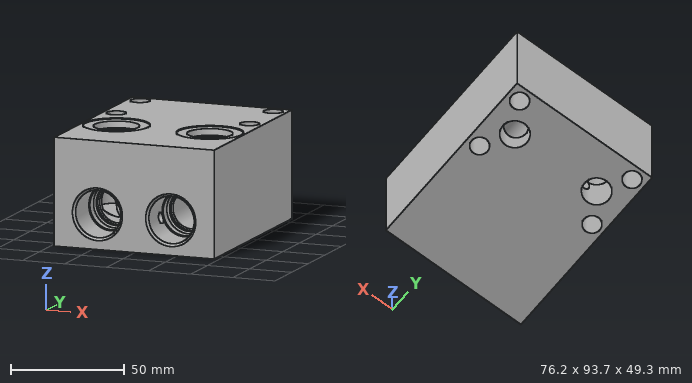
import cadquery as cq
import math

WIDTH = 76.2
LENGTH = 93.7
HEIGHT = 49.3
FRONT_Y = -LENGTH / 2

DRILL_TIP_ANGLE = 118.0

MOUNT_RADIUS = 4.4
MOUNT_X = 31.7
MOUNT_ROWS_Y = (12.0, 40.6)

CAVITY_X = 17.4
CAVITY_Z = 16.0
MOUTH_RADIUS = 11.9
MOUTH_CHAMFER_DEPTH = 0.9
OUTER_BORE_RADIUS = 10.8
OUTER_BORE_END = 16.9
THREAD_BORE_RADIUS = 10.4
THREAD_BORE_END = 21.5
MIDDLE_BORE_RADIUS = 9.5
MIDDLE_BORE_END = 24.4
INNER_BORE_RADIUS = 8.8
INNER_BORE_END = 46.8
PASSAGE_RADIUS = 6.7

TOP_PORT_X = 22.2
TOP_PORT_Y = -11.8
SPOTFACE_RADIUS = 14.9
SPOTFACE_DEPTH = 0.5
SEAT_RADIUS = 10.2
SEAT_END_RADIUS = 9.6
SEAT_DEPTH = 2.8
SEAT_LEDGE_DEPTH = 0.5
TOP_PORT_RADIUS = 8.5
TOP_PORT_FLOOR_Z = 12.1

BOTTOM_PORT_X = 23.0
BOTTOM_PORT_Y = 26.2
BOTTOM_PORT_RADIUS = PASSAGE_RADIUS
BOTTOM_PORT_CEILING_Z = 19.0

CROSS_RADIUS = 2.4
CROSS_Y = -32.4
CROSS_Z = 13.5


def drill_tip_length(radius):
    return radius / math.tan(math.radians(DRILL_TIP_ANGLE / 2))


def drilled_bore(profile):
    """Solid bore along +Z from the origin: (radius, depth) points, closed by a drill point."""
    end_radius, end_depth = profile[-1]
    tip = (0, end_depth + drill_tip_length(end_radius))
    return cq.Workplane("XZ").polyline([(0, 0), *profile, tip]).close().revolve(360, (0, 0), (0, 1))


def cavity(side):
    bores = [
        (OUTER_BORE_RADIUS, OUTER_BORE_END),
        (THREAD_BORE_RADIUS, THREAD_BORE_END),
        (MIDDLE_BORE_RADIUS, MIDDLE_BORE_END),
        (INNER_BORE_RADIUS, INNER_BORE_END),
    ]
    profile = [(MOUTH_RADIUS, 0), (OUTER_BORE_RADIUS, MOUTH_CHAMFER_DEPTH)]
    for (radius, end), (next_radius, _) in zip(bores, bores[1:]):
        profile += [(radius, end), (next_radius, end + radius - next_radius)]
    profile += [
        (INNER_BORE_RADIUS, INNER_BORE_END),
        (PASSAGE_RADIUS, INNER_BORE_END),
        (PASSAGE_RADIUS, BOTTOM_PORT_Y - FRONT_Y),
    ]
    bore = drilled_bore(profile).rotate((0, 0, 0), (1, 0, 0), -90)
    return bore.translate((side * CAVITY_X, FRONT_Y, CAVITY_Z))


def top_port(side):
    seat_end = SPOTFACE_DEPTH + SEAT_DEPTH
    profile = [
        (SPOTFACE_RADIUS, 0),
        (SPOTFACE_RADIUS, SPOTFACE_DEPTH),
        (SEAT_RADIUS, SPOTFACE_DEPTH),
        (SEAT_END_RADIUS, seat_end),
        (TOP_PORT_RADIUS, seat_end + SEAT_LEDGE_DEPTH),
        (TOP_PORT_RADIUS, HEIGHT - TOP_PORT_FLOOR_Z),
    ]
    bore = drilled_bore(profile).rotate((0, 0, 0), (1, 0, 0), 180)
    return bore.translate((side * TOP_PORT_X, TOP_PORT_Y, HEIGHT))


def bottom_port(side):
    profile = [(BOTTOM_PORT_RADIUS, 0), (BOTTOM_PORT_RADIUS, BOTTOM_PORT_CEILING_Z)]
    return drilled_bore(profile).translate((side * BOTTOM_PORT_X, BOTTOM_PORT_Y, 0))


def mount_hole(side, y):
    return cq.Workplane("XY").center(side * MOUNT_X, y).circle(MOUNT_RADIUS).extrude(HEIGHT)


def cross_hole():
    plane = cq.Workplane("YZ").center(CROSS_Y, CROSS_Z)
    return plane.circle(CROSS_RADIUS).extrude(CAVITY_X, both=True)


result = cq.Workplane("XY").box(WIDTH, LENGTH, HEIGHT, centered=(True, True, False))
for side in (-1, 1):
    result = result.cut(cavity(side)).cut(top_port(side)).cut(bottom_port(side))
    for row_y in MOUNT_ROWS_Y:
        result = result.cut(mount_hole(side, row_y))
result = result.cut(cross_hole())